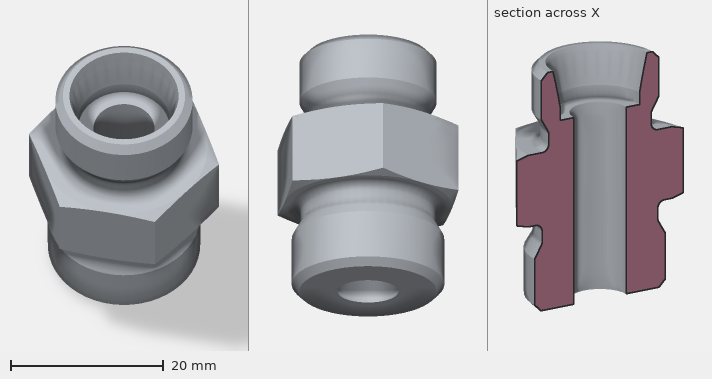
import cadquery as cq
import math

length = 33.0
hex_bottom = 12.0
hex_height = 10.0
hex_top = hex_bottom + hex_height

hex_flats = 22.0
hex_corners = hex_flats / math.cos(math.radians(30))
hex_face_diameter = 21.98
hex_chamfer_angle = 15.0

upper_radius = 18.0 / 2
upper_neck_radius = 15.7 / 2
upper_runout = 6.45
lower_radius = 20.0 / 2
lower_neck_radius = 17.72 / 2
lower_runout = 7.4
end_chamfer = 1.0
neck_fillet = 1.0
cone_angle = math.radians(30)

bore_diameter = 8.0
socket_radius = 12.0 / 2
socket_mouth_radius = 14.3 / 2
socket_half_angle = math.radians(12)
socket_depth = 7.0
taper_depth = (socket_mouth_radius - socket_radius) / math.tan(socket_half_angle)


def threaded_end(end_radius, neck_radius, end_length, runout):
    """Revolved end rising from its hexagon face at Z = 0 to its chamfered tip."""
    cone_start = end_length - runout
    arc_top_radius = neck_radius + neck_fillet * (1 - math.cos(cone_angle))
    arc_top = cone_start - (end_radius - arc_top_radius) / math.tan(cone_angle)
    arc_bottom = arc_top - neck_fillet * math.sin(cone_angle)
    return (
        cq.Workplane("XZ")
        .moveTo(0, 0)
        .lineTo(neck_radius + neck_fillet, 0)
        .radiusArc((neck_radius, neck_fillet), neck_fillet)
        .lineTo(neck_radius, arc_bottom)
        .radiusArc((arc_top_radius, arc_top), neck_fillet)
        .lineTo(end_radius, cone_start)
        .lineTo(end_radius, end_length - end_chamfer)
        .lineTo(end_radius - end_chamfer, end_length)
        .lineTo(0, end_length)
        .close()
        .revolve(360, (0, 0, 0), (0, 1, 0))
    )


def hexagon():
    """Hexagon whose corners are turned off conically at both faces."""
    prism = (
        cq.Workplane("XY", origin=(0, 0, hex_bottom))
        .polygon(6, hex_corners)
        .extrude(hex_height)
        .rotate((0, 0, 0), (0, 0, 1), 30)
    )
    face_radius = hex_face_diameter / 2
    outer_radius = hex_corners / 2
    drop = (outer_radius - face_radius) * math.tan(math.radians(hex_chamfer_angle))
    turned_blank = (
        cq.Workplane("XZ")
        .polyline([
            (0, hex_bottom),
            (face_radius, hex_bottom),
            (outer_radius, hex_bottom + drop),
            (outer_radius, hex_top - drop),
            (face_radius, hex_top),
            (0, hex_top),
        ])
        .close()
        .revolve(360, (0, 0, 0), (0, 1, 0))
    )
    return prism.intersect(turned_blank)


def tube_socket():
    """Conical mouth followed by a straight seat with a flat floor."""
    return (
        cq.Workplane("XZ")
        .polyline([
            (0, length),
            (socket_mouth_radius, length),
            (socket_radius, length - taper_depth),
            (socket_radius, length - socket_depth),
            (0, length - socket_depth),
        ])
        .close()
        .revolve(360, (0, 0, 0), (0, 1, 0))
    )


upper_end = threaded_end(
    upper_radius, upper_neck_radius, length - hex_top, upper_runout
).translate((0, 0, hex_top))

lower_end = (
    threaded_end(lower_radius, lower_neck_radius, hex_bottom, lower_runout)
    .rotate((0, 0, 0), (1, 0, 0), 180)
    .translate((0, 0, hex_bottom))
)

bore = cq.Workplane("XY").circle(bore_diameter / 2).extrude(length)

result = hexagon().union(upper_end).union(lower_end).cut(tube_socket()).cut(bore)